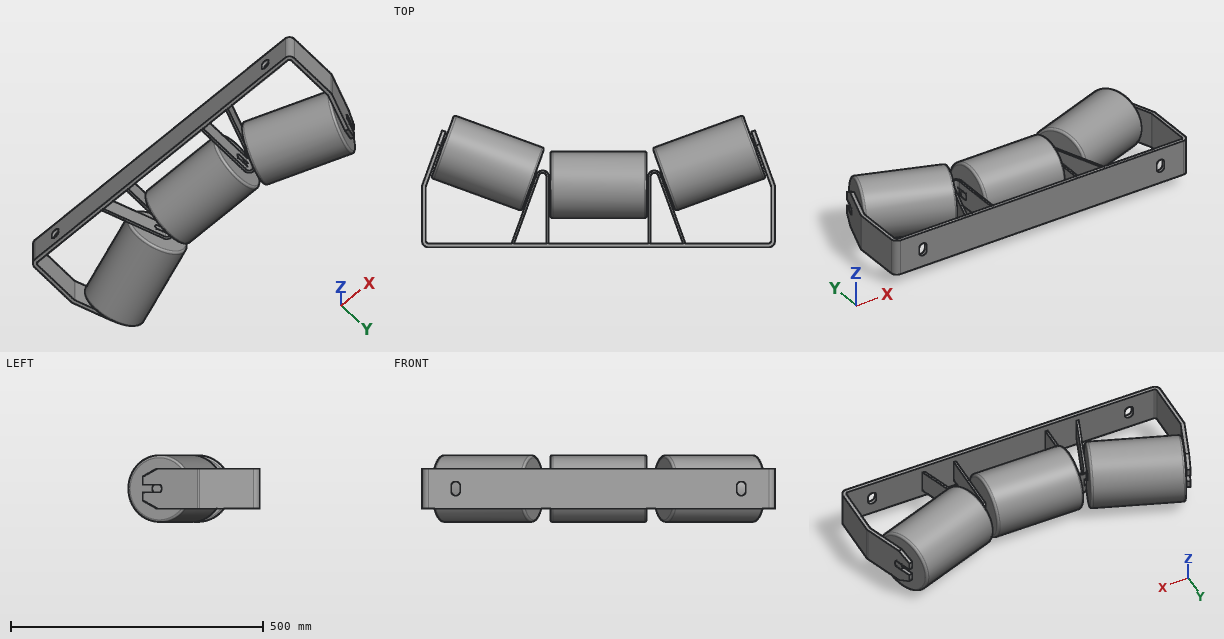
import cadquery as cq
import math

frame_length = 700.0
plate_thickness = 8.0
plate_width = 79.0
bend_radius = 13.0
tilt = 20.0
kink_y = 122.0
arm_end_to_shaft = 30.0
arm_end_taper_length = 29.0
arm_end_taper_depth = 15.5

roller_diameter = 133.0
roller_length = 191.0
roller_edge_radius = 5.0
shaft_diameter = 20.0
shaft_across_flats = 15.0
center_roller_y = 124.0
side_roller_x = 219.3
side_roller_y = 167.08

support_thickness = 5.0
support_width = 50.0
support_bend_radius = 12.5
support_x = 98.5
support_height = 152.6

mount_hole_x = 283.0
mount_hole_width = 18.0
mount_hole_height = 28.0

half_length = frame_length / 2
inner_radius = bend_radius - plate_thickness
support_inner_radius = support_bend_radius - support_thickness
tilt_sin = math.sin(math.radians(tilt))
tilt_cos = math.cos(math.radians(tilt))
tilt_tan = math.tan(math.radians(tilt))

axis_x, axis_y = tilt_cos, tilt_sin
arm_x, arm_y = -tilt_sin, tilt_cos


def along_axis(x, y):
    """Distance of a point from the side roller's middle, along the roller axis."""
    return (x - side_roller_x) * axis_x + (y - side_roller_y) * axis_y


arm_outer_offset = along_axis(half_length, kink_y)
bend_x = support_x + support_bend_radius
bend_y = support_height - support_bend_radius
support_inner_offset = along_axis(bend_x, bend_y) + support_inner_radius


def tilted_plane(offset):
    """Plane square to the right side roller's axis; its local X runs up the arm."""
    origin = (side_roller_x + offset * axis_x, side_roller_y + offset * axis_y, 0)
    return cq.Plane(origin=origin, xDir=(arm_x, arm_y, 0), normal=(axis_x, axis_y, 0))


def upright_plane(x):
    """Plane square to the center roller's axis; its local X runs along +Y."""
    return cq.Plane(origin=(x, center_roller_y, 0), xDir=(0, 1, 0), normal=(1, 0, 0))


def shaft_section(plane, length):
    """Round shaft with two flats facing +Z and -Z."""
    flats = cq.Workplane(plane).rect(2 * shaft_diameter, shaft_across_flats).extrude(length)
    return cq.Workplane(plane).circle(shaft_diameter / 2).extrude(length).intersect(flats)


def slot_cutter(plane, depth):
    """Shaft slot: its closed end follows the shaft, its other end is open."""
    reach = 2 * arm_end_to_shaft
    opening = (
        cq.Workplane(plane)
        .center(reach / 2, 0)
        .rect(reach, shaft_across_flats)
        .extrude(depth)
    )
    return shaft_section(plane, depth).union(opening)


def mirrored(body):
    """Copy of a right-hand body on the left-hand side."""
    return body.mirror("YZ")


def make_roller(plane_at, shaft_start, shaft_end):
    """Roller drum with rounded rims; its shaft runs between the two given offsets."""
    drum = (
        cq.Workplane(plane_at(-roller_length / 2))
        .circle(roller_diameter / 2)
        .extrude(roller_length)
        .edges()
        .fillet(roller_edge_radius)
    )
    return drum.union(shaft_section(plane_at(shaft_start), shaft_end - shaft_start))


def make_bent_bar():
    """Frame bar with all its bends, before the slots and holes are cut."""
    shaft_distance = (side_roller_y + arm_outer_offset * axis_y - kink_y) / arm_y
    tip_distance = shaft_distance + arm_end_to_shaft
    tip = (half_length + tip_distance * arm_x, kink_y + tip_distance * arm_y)
    inner_tip = (tip[0] - plate_thickness * axis_x, tip[1] - plate_thickness * axis_y)
    inner_x = half_length - plate_thickness
    inner_kink_y = kink_y - plate_thickness * math.tan(math.radians(tilt / 2))
    right_side = [
        (half_length, 0),
        (half_length, kink_y),
        tip,
        inner_tip,
        (inner_x, inner_kink_y),
        (inner_x, plate_thickness),
    ]
    left_side = [(-x, y) for x, y in reversed(right_side)]
    bar = (
        cq.Workplane("XY")
        .polyline(right_side + left_side)
        .close()
        .extrude(plate_width / 2, both=True)
    )
    bends = [
        (half_length, 0, bend_radius),
        (half_length, kink_y, bend_radius),
        (inner_x, plate_thickness, inner_radius),
        (inner_x, inner_kink_y, inner_radius),
    ]
    for side in (1, -1):
        for x, y, radius in bends:
            corner = cq.selectors.NearestToPointSelector((side * x, y, 0))
            bar = bar.edges("|Z").edges(corner).fillet(radius)
    return bar


def arm_end_cutter():
    """Shaft slot and tapered corners of the right-hand arm."""
    cut_plane = tilted_plane(arm_outer_offset - 2 * plate_thickness)
    cut_depth = 3 * plate_thickness
    taper_start = arm_end_to_shaft - arm_end_taper_length
    half_width = plate_width / 2
    cutter = slot_cutter(cut_plane, cut_depth)
    for side in (1, -1):
        taper = (
            cq.Workplane(cut_plane)
            .polyline([
                (taper_start, side * half_width),
                (arm_end_to_shaft, side * (half_width - arm_end_taper_depth)),
                (arm_end_to_shaft, side * half_width),
            ])
            .close()
            .extrude(cut_depth)
        )
        cutter = cutter.union(taper)
    return cutter


def make_frame():
    """Bent bar with slotted arm ends and two mounting holes."""
    arm_end = arm_end_cutter()
    mount_holes = (
        cq.Workplane("XZ")
        .pushPoints([(-mount_hole_x, 0), (mount_hole_x, 0)])
        .slot2D(mount_hole_height, mount_hole_width, 90)
        .extrude(-plate_thickness)
    )
    return make_bent_bar().cut(arm_end).cut(mirrored(arm_end)).cut(mount_holes)


def on_support_bend(radius, angle):
    """Point on the support's fold."""
    turn = math.radians(angle)
    return (bend_x + radius * math.cos(turn), bend_y + radius * math.sin(turn))


def tilted_leg_foot(radius):
    """Point where one face of the support's tilted leg meets the frame base."""
    x, y = on_support_bend(radius, tilt)
    return (x + (y - plate_thickness) * tilt_tan, plate_thickness)


def make_support():
    """Right-hand support: a strip folded over, one leg upright and one leg tilted."""
    mid_angle = (180 + tilt) / 2
    strip = (
        cq.Workplane("XY")
        .moveTo(support_x, plate_thickness)
        .lineTo(*on_support_bend(support_bend_radius, 180))
        .threePointArc(
            on_support_bend(support_bend_radius, mid_angle),
            on_support_bend(support_bend_radius, tilt),
        )
        .lineTo(*tilted_leg_foot(support_bend_radius))
        .lineTo(*tilted_leg_foot(support_inner_radius))
        .lineTo(*on_support_bend(support_inner_radius, tilt))
        .threePointArc(
            on_support_bend(support_inner_radius, mid_angle),
            on_support_bend(support_inner_radius, 180),
        )
        .lineTo(support_x + support_thickness, plate_thickness)
        .close()
        .extrude(support_width / 2, both=True)
    )
    upright_slot = slot_cutter(upright_plane(support_x), support_thickness)
    tilted_slot = slot_cutter(tilted_plane(support_inner_offset), support_thickness)
    return strip.cut(upright_slot).cut(tilted_slot)


center_shaft_end = support_x + support_thickness

frame = make_frame()
support = make_support()
center_roller = make_roller(upright_plane, -center_shaft_end, center_shaft_end)
side_roller = make_roller(tilted_plane, support_inner_offset, arm_outer_offset)

result = cq.Compound.makeCompound([
    frame.val(),
    support.val(),
    mirrored(support).val(),
    center_roller.val(),
    side_roller.val(),
    mirrored(side_roller).val(),
])